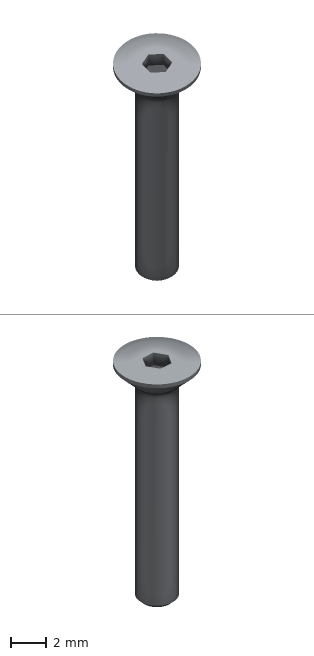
import cadquery as cq
import math

length = 16.0
head_radius = 5.0 / 2
shank_radius = 2.5 / 2
rim_height = 0.25
tip_chamfer = 0.27
socket_across_flats = 1.5
socket_depth = 0.85

rim_bottom = length - rim_height
cone_bottom = rim_bottom - (head_radius - shank_radius)


def screw_body():
    """Shank, chamfered tip and head, revolved about Z."""
    half_profile = (
        cq.Workplane("XZ")
        .moveTo(0, 0)
        .lineTo(shank_radius - tip_chamfer, 0)
        .lineTo(shank_radius, tip_chamfer)
        .lineTo(shank_radius, cone_bottom)
        .lineTo(head_radius, rim_bottom)
        .lineTo(head_radius, length)
        .lineTo(0, length)
        .close()
    )
    return half_profile.revolve(360, (0, 0), (0, 1))


def hex_socket():
    """Hexagonal drive recess with two corners on the X axis."""
    across_corners = socket_across_flats / math.cos(math.pi / 6)
    return (
        cq.Workplane("XY")
        .workplane(offset=length - socket_depth)
        .polygon(6, across_corners)
        .extrude(socket_depth)
    )


result = screw_body().cut(hex_socket())